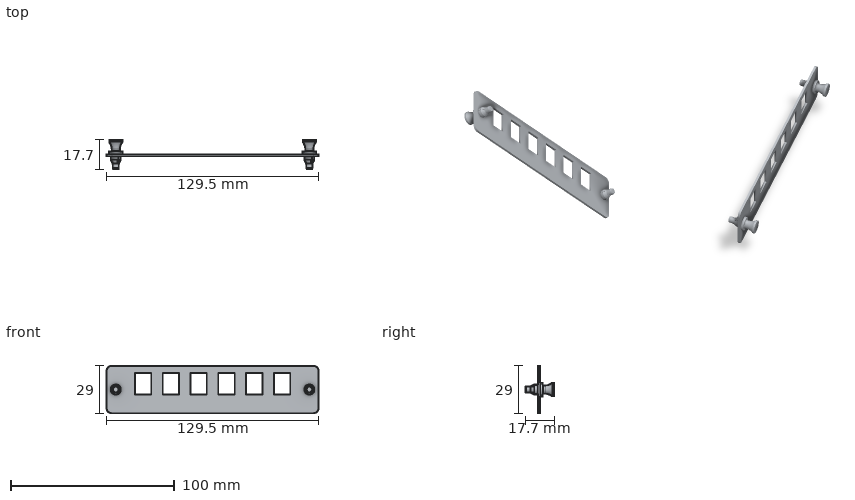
import cadquery as cq
import math

PANEL_LENGTH = 129.5
PANEL_HEIGHT = 29.0
PANEL_THICKNESS = 1.4
CORNER_RADIUS = 3.2

WINDOW_COUNT = 6
WINDOW_WIDTH = 9.8
WINDOW_HEIGHT = 13.0
WINDOW_PITCH = 17.0
WINDOW_RAISE = 3.5

RIVET_OFFSET = 59.1
RIVET_LENGTH = 17.7

BARREL_RADIUS = 3.1
BARREL_REACH = 2.2
TAPER_LENGTH = 2.0
TAPER_END_RADIUS = 2.1
LIP_LENGTH = 0.4
FLANGE_RADIUS = 4.3
FLANGE_THICKNESS = 1.5
SLIT_COUNT = 3
SLIT_WIDTH = 0.1

KNOB_BACK = 10.0
KNOB_RADIUS = 4.1
RIM_THICKNESS = 1.2
FLARE_LENGTH = 4.3
NECK_RADIUS = 2.6
FOOT_RADIUS = 3.0
FOOT_LENGTH = 0.4
SHAFT_RADIUS = 2.0
TIP_CHAMFER_LENGTH = 0.8
TIP_RADIUS = 1.7

FLANGE_BACK = PANEL_THICKNESS + FLANGE_THICKNESS
TAPER_FRONT = -(BARREL_REACH + TAPER_LENGTH)
GROMMET_FRONT = TAPER_FRONT - LIP_LENGTH
PLUNGER_FRONT = KNOB_BACK - RIVET_LENGTH
RIVET_CENTRES = [-RIVET_OFFSET, RIVET_OFFSET]


def front_plane(y=0):
    """XZ workplane at the given Y, with its normal toward -Y."""
    return cq.Workplane("XZ", origin=(0, y, 0))


def revolve_about_y(profile):
    """Turn a closed (radius, Y) profile a full turn about the Y axis."""
    return profile.close().revolve(360, (0, 0, 0), (0, 1, 0))


def make_panel():
    """Rounded plate with a row of windows and two rivet holes."""
    plate = front_plane(PANEL_THICKNESS).rect(PANEL_LENGTH, PANEL_HEIGHT).extrude(PANEL_THICKNESS)
    plate = plate.edges("|Y").fillet(CORNER_RADIUS)
    windows = (
        front_plane(PANEL_THICKNESS)
        .center(0, WINDOW_RAISE)
        .rarray(WINDOW_PITCH, 1.3, WINDOW_COUNT, 1)
        .rect(WINDOW_WIDTH, WINDOW_HEIGHT)
        .extrude(PANEL_THICKNESS)
    )
    holes = (
        front_plane(PANEL_THICKNESS)
        .pushPoints([(x, 0) for x in RIVET_CENTRES])
        .circle(BARREL_RADIUS)
        .extrude(PANEL_THICKNESS)
    )
    return plate.cut(windows).cut(holes)


def make_slits():
    """Radial slits that divide the grommet in front of the panel into equal fingers."""
    length = -GROMMET_FRONT
    slit = cq.Workplane("XY").box(BARREL_RADIUS, length, SLIT_WIDTH, centered=(False, True, True))
    slit = slit.translate((SHAFT_RADIUS / 2, -length / 2, 0))
    slits = cq.Workplane("XY")
    for i in range(SLIT_COUNT):
        angle = 180 + i * 360 / SLIT_COUNT
        slits = slits.add(slit.rotate((0, 0, 0), (0, 1, 0), angle))
    return slits.combine()


def make_grommet():
    """Bored, flanged barrel with a slit front end that tapers to a short lip."""
    body = revolve_about_y(
        cq.Workplane("XY")
        .moveTo(SHAFT_RADIUS, FLANGE_BACK)
        .lineTo(FLANGE_RADIUS, FLANGE_BACK)
        .lineTo(FLANGE_RADIUS, PANEL_THICKNESS)
        .lineTo(BARREL_RADIUS, PANEL_THICKNESS)
        .lineTo(BARREL_RADIUS, -BARREL_REACH)
        .lineTo(TAPER_END_RADIUS, TAPER_FRONT)
        .lineTo(TAPER_END_RADIUS, GROMMET_FRONT)
        .lineTo(SHAFT_RADIUS, GROMMET_FRONT)
    )
    return body.cut(make_slits())


def make_plunger():
    """Flared knob and neck with a conical foot on the grommet flange, and a shaft through its bore."""
    rim_front = KNOB_BACK - RIM_THICKNESS
    flare_front = rim_front - FLARE_LENGTH
    flare_width = KNOB_RADIUS - NECK_RADIUS
    flare_radius = (FLARE_LENGTH**2 + flare_width**2) / (2 * flare_width)
    half_angle = math.asin(FLARE_LENGTH / flare_radius) / 2
    flare_middle = (
        NECK_RADIUS + flare_radius * (1 - math.cos(half_angle)),
        flare_front + flare_radius * math.sin(half_angle),
    )
    return revolve_about_y(
        cq.Workplane("XY")
        .moveTo(0, KNOB_BACK)
        .lineTo(KNOB_RADIUS, KNOB_BACK)
        .lineTo(KNOB_RADIUS, rim_front)
        .threePointArc(flare_middle, (NECK_RADIUS, flare_front))
        .lineTo(NECK_RADIUS, FLANGE_BACK + FOOT_LENGTH)
        .lineTo(FOOT_RADIUS, FLANGE_BACK)
        .lineTo(SHAFT_RADIUS, FLANGE_BACK)
        .lineTo(SHAFT_RADIUS, PLUNGER_FRONT + TIP_CHAMFER_LENGTH)
        .lineTo(TIP_RADIUS, PLUNGER_FRONT)
        .lineTo(0, PLUNGER_FRONT)
    )


panel = make_panel()
grommets = []
plungers = []
for rivet_x in RIVET_CENTRES:
    grommets.append(make_grommet().translate((rivet_x, 0, 0)).val())
    plungers.append(make_plunger().translate((rivet_x, 0, 0)).val())

result = cq.Compound.makeCompound([panel.val(), *grommets, *plungers])